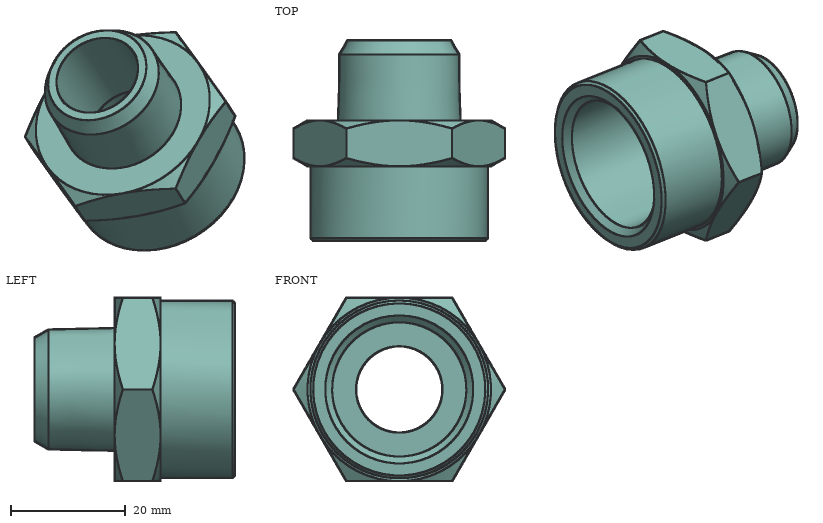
import cadquery as cq
import math

TOTAL_LENGTH = 35.0
SOCKET_LENGTH = 13.0
HEX_LENGTH = 8.0
SPIGOT_TIP_LENGTH = 2.5

FULL_TURN = 360.0

HEX_SIDES = 6
HEX_ACROSS_FLATS = 32.0
HEX_CHAMFER_ANGLE = 30.0

SOCKET_DIAMETER = 31.0
SOCKET_EDGE_CHAMFER = 0.5
SOCKET_BORE_DIAMETER = 23.4
SOCKET_MOUTH_DIAMETER = 25.8
SOCKET_BORE_DEPTH = 16.5

SPIGOT_ROOT_DIAMETER = 21.45
SPIGOT_END_DIAMETER = 20.95
SPIGOT_TIP_ANGLE = 30.0
THROUGH_BORE_DIAMETER = 15.0

hex_front = SOCKET_LENGTH
hex_back = hex_front + HEX_LENGTH
hex_across_corners = HEX_ACROSS_FLATS / math.cos(math.pi / HEX_SIDES)
spigot_tip_start = TOTAL_LENGTH - SPIGOT_TIP_LENGTH
spigot_tip_radius = SPIGOT_END_DIAMETER / 2 - SPIGOT_TIP_LENGTH * math.tan(math.radians(SPIGOT_TIP_ANGLE))
socket_mouth_depth = (SOCKET_MOUTH_DIAMETER - SOCKET_BORE_DIAMETER) / 2


def revolve_about_y(profile):
    """Revolve a closed (radius, y) outline a full turn about the Y axis."""
    return (
        cq.Workplane("ZY")
        .polyline(profile)
        .close()
        .revolve(FULL_TURN, (0, 0, 0), (0, 1, 0))
    )


def make_socket():
    """Plain cylinder with a small 45 degree chamfer round its mouth end."""
    radius = SOCKET_DIAMETER / 2
    return revolve_about_y([
        (0, 0),
        (radius - SOCKET_EDGE_CHAMFER, 0),
        (radius, SOCKET_EDGE_CHAMFER),
        (radius, hex_front),
        (0, hex_front),
    ])


def make_hexagon():
    """Hexagon with corners on X, its corners turned off conically at both ends."""
    prism = (
        cq.Workplane("XZ", origin=(0, hex_front, 0))
        .polygon(HEX_SIDES, hex_across_corners)
        .extrude(-HEX_LENGTH)
    )
    face_radius = HEX_ACROSS_FLATS / 2
    corner_radius = hex_across_corners / 2
    corner_drop = (corner_radius - face_radius) * math.tan(math.radians(HEX_CHAMFER_ANGLE))
    envelope = revolve_about_y([
        (0, hex_front),
        (face_radius, hex_front),
        (corner_radius, hex_front + corner_drop),
        (corner_radius, hex_back - corner_drop),
        (face_radius, hex_back),
        (0, hex_back),
    ])
    return prism.intersect(envelope)


def make_spigot():
    """Slightly tapered spigot with a conical tip."""
    return revolve_about_y([
        (0, hex_back),
        (SPIGOT_ROOT_DIAMETER / 2, hex_back),
        (SPIGOT_END_DIAMETER / 2, spigot_tip_start),
        (spigot_tip_radius, TOTAL_LENGTH),
        (0, TOTAL_LENGTH),
    ])


def make_bore():
    """Stepped passage: tapered mouth, flat-bottomed socket bore, then the through bore."""
    return revolve_about_y([
        (0, 0),
        (SOCKET_MOUTH_DIAMETER / 2, 0),
        (SOCKET_BORE_DIAMETER / 2, socket_mouth_depth),
        (SOCKET_BORE_DIAMETER / 2, SOCKET_BORE_DEPTH),
        (THROUGH_BORE_DIAMETER / 2, SOCKET_BORE_DEPTH),
        (THROUGH_BORE_DIAMETER / 2, TOTAL_LENGTH),
        (0, TOTAL_LENGTH),
    ])


result = make_socket().union(make_hexagon()).union(make_spigot()).cut(make_bore())